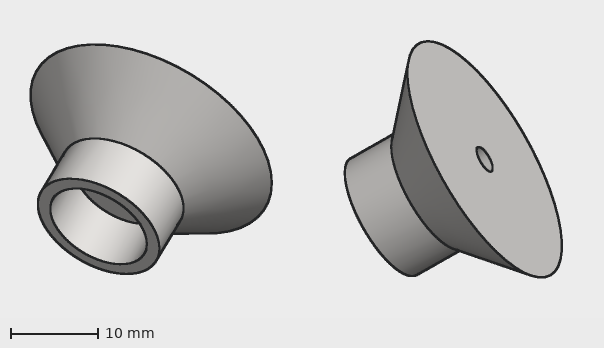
import cadquery as cq

rim_diameter = 30.48
total_length = 14.17

collar_diameter = 15.35
collar_length = 6.52
socket_diameter = 12.2
socket_depth = 6.52
hole_diameter = 3.17

front_y = -total_length / 2
back_y = front_y + total_length
shoulder_y = front_y + collar_length


def cylinder_from_front(diameter, length):
    """Cylinder on the Y axis, running from the front face toward +Y."""
    front_plane = cq.Workplane("XZ", origin=(0, front_y, 0))
    return front_plane.circle(diameter / 2).extrude(-length)


body = (
    cq.Workplane("XY")
    .moveTo(0, front_y)
    .lineTo(collar_diameter / 2, front_y)
    .lineTo(collar_diameter / 2, shoulder_y)
    .lineTo(rim_diameter / 2, back_y)
    .lineTo(0, back_y)
    .close()
    .revolve(360, (0, 0, 0), (0, 1, 0))
)

socket = cylinder_from_front(socket_diameter, socket_depth)
through_hole = cylinder_from_front(hole_diameter, total_length)

result = body.cut(socket).cut(through_hole)